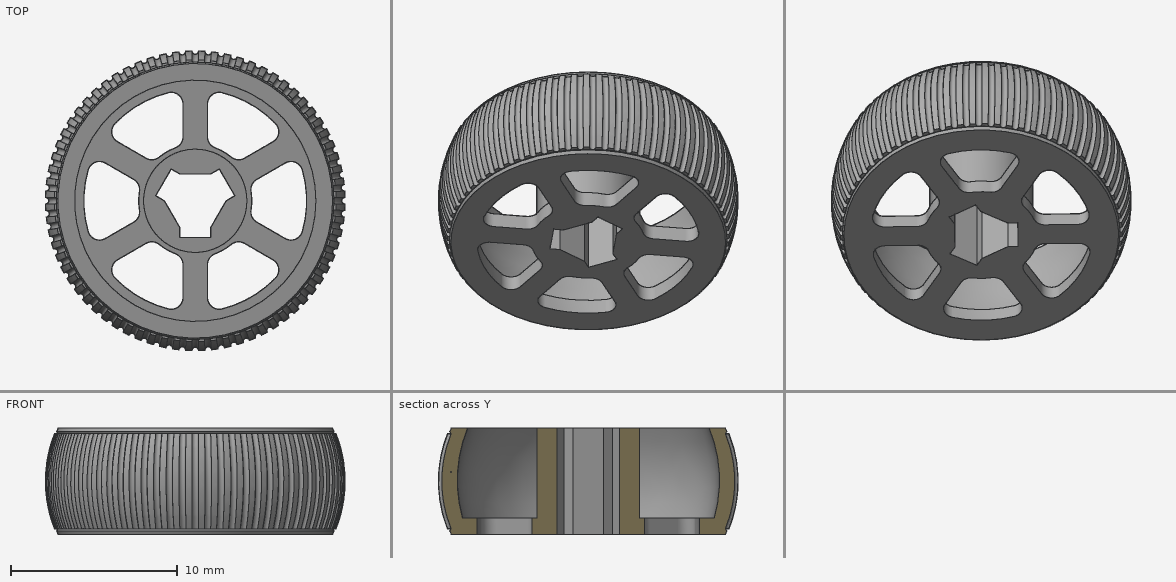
import cadquery as cq
import math

WHEEL_RADIUS = 9.0
HALF_WIDTH = 3.2

TREAD_HALF_WIDTH = 2.86
TREAD_EDGE_RADIUS = 8.45
GROOVE_COUNT = 72
GROOVE_RADIUS = 0.19
GROOVE_INSET = 0.01

LIP_TOP_RADIUS = 8.24
LIP_RADIUS = 8.33
LIP_INNER_Z = 2.98
NECK_RADIUS = 8.25

DISH_MOUTH_RADIUS = 7.24
DISH_FLOOR_RADIUS = 7.55
DISH_BULGE_RADIUS = 7.85
WEB_THICKNESS = 1.0

SPOKE_COUNT = 6
SPOKE_WIDTH = 1.48
WINDOW_INNER_RADIUS = 3.4
WINDOW_OUTER_RADIUS = 6.68
WINDOW_CORNER_RADIUS = 0.7

HUB_RADIUS = 3.1
HEX_ACROSS_FLATS = 3.2
SLOT_REACH = 2.2
SLOT_COUNT = 3
SLOT_START_ANGLE = 30.0

WIDTH = 2 * HALF_WIDTH
WEB_TOP_Z = WEB_THICKNESS - HALF_WIDTH

CROWN_RISE = WHEEL_RADIUS - TREAD_EDGE_RADIUS
CROWN_RADIUS = (TREAD_HALF_WIDTH**2 + CROWN_RISE**2) / (2 * CROWN_RISE)
CROWN_CENTER = WHEEL_RADIUS - CROWN_RADIUS


def make_tire():
    """Solid of revolution with a crowned tread and two rim lips undercut to a neck."""
    profile = (
        cq.Workplane("XZ")
        .moveTo(0, -HALF_WIDTH)
        .lineTo(LIP_TOP_RADIUS, -HALF_WIDTH)
        .lineTo(LIP_RADIUS, -LIP_INNER_Z)
        .lineTo(NECK_RADIUS, -TREAD_HALF_WIDTH)
        .lineTo(TREAD_EDGE_RADIUS, -TREAD_HALF_WIDTH)
        .threePointArc((WHEEL_RADIUS, 0), (TREAD_EDGE_RADIUS, TREAD_HALF_WIDTH))
        .lineTo(NECK_RADIUS, TREAD_HALF_WIDTH)
        .lineTo(LIP_RADIUS, LIP_INNER_Z)
        .lineTo(LIP_TOP_RADIUS, HALF_WIDTH)
        .lineTo(0, HALF_WIDTH)
        .close()
    )
    return profile.revolve(360, (0, 0), (0, 1))


def make_dish():
    """Hollow between rim and hub, bulging outward between its mouth and floor."""
    middle_z = (HALF_WIDTH + WEB_TOP_Z) / 2
    profile = (
        cq.Workplane("XZ")
        .moveTo(HUB_RADIUS, WEB_TOP_Z)
        .lineTo(DISH_FLOOR_RADIUS, WEB_TOP_Z)
        .threePointArc((DISH_BULGE_RADIUS, middle_z), (DISH_MOUTH_RADIUS, HALF_WIDTH))
        .lineTo(HUB_RADIUS, HALF_WIDTH)
        .close()
    )
    return profile.revolve(360, (0, 0), (0, 1))


def make_window():
    """Opening between two spokes, centred on the +X axis, with rounded corners."""
    half_spoke = SPOKE_WIDTH / 2
    half_pitch = math.pi / SPOKE_COUNT

    def corner(radius, side):
        angle = half_pitch - math.asin(half_spoke / radius)
        return (radius * math.cos(angle), side * radius * math.sin(angle))

    outline = (
        cq.Workplane("XY", origin=(0, 0, -HALF_WIDTH))
        .moveTo(*corner(WINDOW_INNER_RADIUS, -1))
        .lineTo(*corner(WINDOW_OUTER_RADIUS, -1))
        .threePointArc((WINDOW_OUTER_RADIUS, 0), corner(WINDOW_OUTER_RADIUS, 1))
        .lineTo(*corner(WINDOW_INNER_RADIUS, 1))
        .threePointArc((WINDOW_INNER_RADIUS, 0), corner(WINDOW_INNER_RADIUS, -1))
        .close()
    )
    return outline.extrude(WEB_THICKNESS).edges("|Z").fillet(WINDOW_CORNER_RADIUS)


def make_bore():
    """Hexagonal through bore with a key slot as wide as the flat on every other flat."""
    hex_side = HEX_ACROSS_FLATS / math.sqrt(3)
    base = cq.Workplane("XY", origin=(0, 0, -HALF_WIDTH))
    bore = base.polygon(6, 2 * hex_side).extrude(WIDTH)
    slot = base.rect(SLOT_REACH, hex_side).extrude(WIDTH).translate((SLOT_REACH / 2, 0, 0))
    for index in range(SLOT_COUNT):
        angle = SLOT_START_ANGLE + index * 360 / SLOT_COUNT
        bore = bore.union(slot.rotate((0, 0, 0), (0, 0, 1), angle))
    return bore


def make_groove():
    """Round-bottomed tread groove that follows the crown from neck to neck at +X."""
    path_radius = CROWN_RADIUS - GROOVE_INSET
    end_angle = math.degrees(math.asin(TREAD_HALF_WIDTH / (path_radius - GROOVE_RADIUS)))
    groove = (
        cq.Workplane("XY")
        .center(CROWN_CENTER + path_radius, 0)
        .circle(GROOVE_RADIUS)
        .revolve(2 * end_angle, (-path_radius, -1), (-path_radius, 1))
    )
    crown_axis_start = (CROWN_CENTER, 0, 0)
    crown_axis_end = (CROWN_CENTER, 1, 0)
    return groove.rotate(crown_axis_start, crown_axis_end, -end_angle)


def ring_of(shape, count):
    """Copies of a shape spaced evenly about the wheel axis."""
    copies = cq.Workplane("XY")
    for index in range(count):
        copies = copies.add(shape.rotate((0, 0, 0), (0, 0, 1), index * 360 / count))
    return cq.Workplane(cq.Compound.makeCompound(copies.vals()))


wheel = make_tire().cut(ring_of(make_groove(), GROOVE_COUNT))
wheel = wheel.cut(make_dish())
wheel = wheel.cut(ring_of(make_window(), SPOKE_COUNT))
wheel = wheel.cut(make_bore())
result = cq.Workplane(wheel.solids().val())